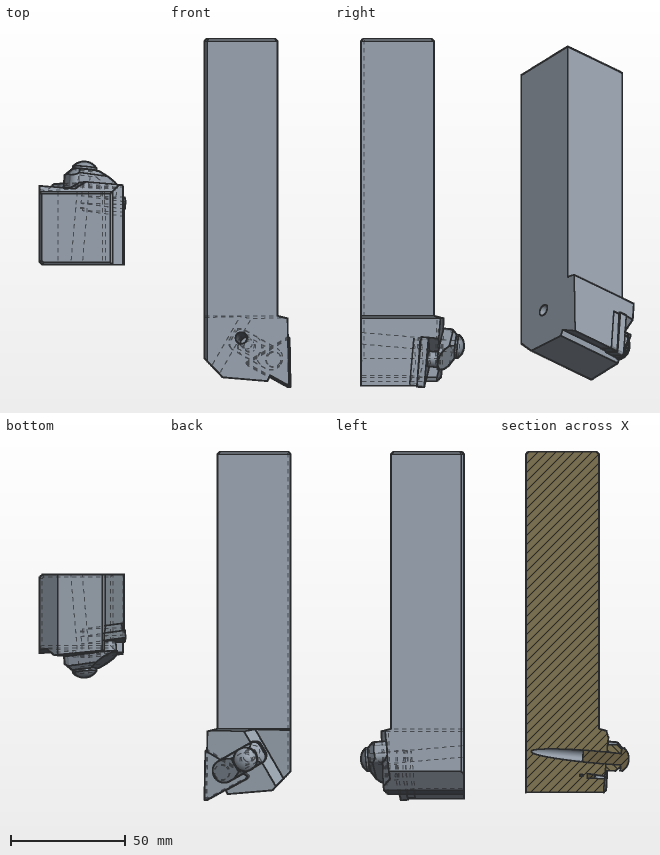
import cadquery as cq
import math


length = 151.9
shank_side = 31.9
head_width_top = 36.3
head_width_bottom = 36.9
shoulder_start = 31.3
shoulder_slope = 0.27
end_chamfer = 1.0
corner_chamfer = 1.4
blank_depth = 42.5

heel_start = (0.0, 12.8)
heel_end = (8.0, 4.4)
notch_start = (27.5, 2.7)
notch_end = (28.7, 5.3)
head_corner = (head_width_bottom, 0.8)

rake_slope = math.tan(math.radians(5))
screw_entry = (16.1, 0.0, 21.5)
frame_lift = 30.8
clamp_angle = 30.0
low_height = 0.9
pad_height = 4.4
wall_foot = -9.1
wall_top = -4.9
cutter_reach = 60.8

insert_thickness = 3.2
insert_nose = 0.8
insert_edge = 20.4
insert_center = (14.6, 1.0)
insert_turn = 28.8
shim_inset = 0.5
shim_thickness = 3.2

clamp_half_width = 5.0
clamp_tail = -8.2
clamp_nose = 16.4
clamp_top = 10.6
clamp_flat = 5.3
nose_height = 4.7
side_shoulder = 8.7
side_flat = 3.3
tail_corner = 3.0
finger_radius = 3.3
finger_center = 12.9

screw_diameter = 5.0
screw_head_radius = 5.2
screw_rim = 1.0
screw_dome = 2.6
screw_depth = 6.1


def tilted(height=0.0):
    """Work plane on the screw axis: local x runs along the clamp to its nose, z along the axis."""
    axis = cq.Vector(rake_slope, 1, -rake_slope)
    angle = math.radians(clamp_angle)
    along = cq.Vector(math.cos(angle), 0, -math.sin(angle))
    along = along - axis * (along.dot(axis) / axis.dot(axis))
    origin = cq.Vector(*screw_entry) + axis * frame_lift
    plane = cq.Plane(origin=origin, xDir=along, normal=axis)
    return cq.Workplane(plane).workplane(offset=height)


def side_section(points, half_width):
    """Extrude a (clamp direction, height) outline evenly to both sides of the clamp's centre plane."""
    base = tilted().plane
    plane = cq.Plane(origin=base.origin, xDir=base.xDir, normal=-base.yDir)
    return cq.Workplane(plane).polyline(points).close().extrude(half_width, both=True)


def cross_section(points, reach):
    """Extrude an (across the clamp, height) outline along the clamp direction."""
    base = tilted().plane
    plane = cq.Plane(origin=base.origin, xDir=base.yDir, normal=base.xDir)
    return cq.Workplane(plane).polyline(points).close().extrude(reach, both=True)


def triangle(bottom, thickness, inset=0.0):
    """Triangular plate with rounded noses, its lower face at the given height."""
    nose = insert_nose
    edge = insert_edge - 2 * math.sqrt(3) * inset
    circumradius = edge / math.sqrt(3) + 2 * nose
    corners = []
    for index in range(3):
        angle = math.radians(insert_turn + 120 * index)
        corners.append((
            insert_center[0] + circumradius * math.cos(angle),
            insert_center[1] + circumradius * math.sin(angle),
        ))
    plate = tilted(bottom).polyline(corners).close().extrude(thickness)
    return plate.edges(cq.selectors.ParallelDirSelector(tilted().plane.zDir)).fillet(nose)


def make_blank():
    """Shank with its wider head, before the seats are cut."""
    head_top = shoulder_start - shoulder_slope * (head_width_top - shank_side)
    front_outline = [
        heel_start, heel_end, notch_start, notch_end, head_corner,
        (head_width_top, head_top), (shank_side, shoulder_start),
        (shank_side, length), (0, length),
    ]
    front = cq.Workplane("XZ").polyline(front_outline).close().extrude(-blank_depth)

    blank_top = shoulder_start - shoulder_slope * (blank_depth - shank_side)
    side_outline = [
        (0, 0), (blank_depth, 0), (blank_depth, blank_top),
        (shank_side, shoulder_start), (shank_side, length), (0, length),
    ]
    side = cq.Workplane("YZ").polyline(side_outline).close().extrude(cutter_reach)
    blank = front.intersect(side)
    blank = blank.edges("|Z and <X and <Y").chamfer(corner_chamfer)
    return blank.faces(">Z").edges().chamfer(end_chamfer)


def make_seat_cutter():
    """Everything above the pad, the sloping wall and the lower face behind it."""
    outline = [
        (-cutter_reach, low_height), (wall_foot, low_height), (wall_top, pad_height),
        (cutter_reach, pad_height), (cutter_reach, cutter_reach), (-cutter_reach, cutter_reach),
    ]
    return side_section(outline, cutter_reach)


def make_holder():
    pocket = triangle(-insert_thickness, insert_thickness + blank_depth)
    shim_pocket = triangle(-insert_thickness - shim_thickness, shim_thickness, shim_inset)
    screw_hole = tilted(-cutter_reach).circle(screw_diameter / 2).extrude(2 * cutter_reach)
    return make_blank().cut(make_seat_cutter()).cut(pocket).cut(shim_pocket).cut(screw_hole)


def make_tail_cone():
    """45 degree cone round the screw that bevels the clamp's tail, left open on the nose side."""
    base_radius = clamp_flat + clamp_top
    cone = tilted().circle(base_radius).workplane(offset=clamp_top).circle(clamp_flat).loft()
    nose_side = tilted().center(clamp_nose / 2, 0).rect(clamp_nose, 2 * clamp_nose).extrude(clamp_top)
    return cone.union(nose_side)


def make_clamp():
    """Wedge clamp: its tail rests on the sloping wall, its finger presses on the insert."""
    wall_slope = (pad_height - low_height) / (wall_top - wall_foot)
    tail_bottom = low_height + (clamp_tail - wall_foot) * wall_slope
    side = side_section([
        (clamp_tail, tail_bottom), (wall_top, pad_height), (clamp_nose, pad_height),
        (clamp_nose, nose_height), (clamp_flat, clamp_top), (clamp_tail, clamp_top),
    ], clamp_half_width)
    across = cross_section([
        (-clamp_half_width, 0), (clamp_half_width, 0), (clamp_half_width, side_shoulder),
        (side_flat, clamp_top), (-side_flat, clamp_top), (-clamp_half_width, side_shoulder),
    ], cutter_reach)
    nose_start = clamp_nose - clamp_half_width
    tail_start = clamp_tail + tail_corner
    tail_flat = clamp_half_width - tail_corner
    outline = (
        tilted()
        .moveTo(nose_start, -clamp_half_width)
        .threePointArc((clamp_nose, 0), (nose_start, clamp_half_width))
        .lineTo(tail_start, clamp_half_width)
        .radiusArc((clamp_tail, tail_flat), -tail_corner)
        .lineTo(clamp_tail, -tail_flat)
        .radiusArc((tail_start, -clamp_half_width), -tail_corner)
        .close()
        .extrude(clamp_top)
    )
    finger = tilted().center(finger_center, 0).circle(finger_radius).extrude(pad_height)
    screw_hole = tilted().circle(screw_diameter / 2).extrude(clamp_top)
    body = side.intersect(across).intersect(outline).intersect(make_tail_cone())
    return body.union(finger).cut(screw_hole)


def make_screw():
    """Domed screw that holds the clamp down."""
    base = tilted().plane
    plane = cq.Plane(origin=base.origin, xDir=base.xDir, normal=-base.yDir)
    radius = screw_diameter / 2
    rim_top = clamp_top + screw_rim
    crown = rim_top + screw_dome
    sphere = (screw_head_radius ** 2 + screw_dome ** 2) / (2 * screw_dome)
    mid_radius = screw_head_radius / 2
    mid_height = crown - sphere + math.sqrt(sphere ** 2 - mid_radius ** 2)
    return (
        cq.Workplane(plane)
        .moveTo(0, -screw_depth)
        .lineTo(radius, -screw_depth)
        .lineTo(radius, clamp_top)
        .lineTo(screw_head_radius, clamp_top)
        .lineTo(screw_head_radius, rim_top)
        .threePointArc((mid_radius, mid_height), (0, crown))
        .close()
        .revolve(360, (0, 0, 0), (0, 1, 0))
    )


holder = make_holder()
shim = triangle(-insert_thickness - shim_thickness, shim_thickness, shim_inset)
insert = triangle(-insert_thickness, insert_thickness)
clamp = make_clamp()
screw = make_screw()

result = cq.Compound.makeCompound([holder.val(), shim.val(), insert.val(), clamp.val(), screw.val()])